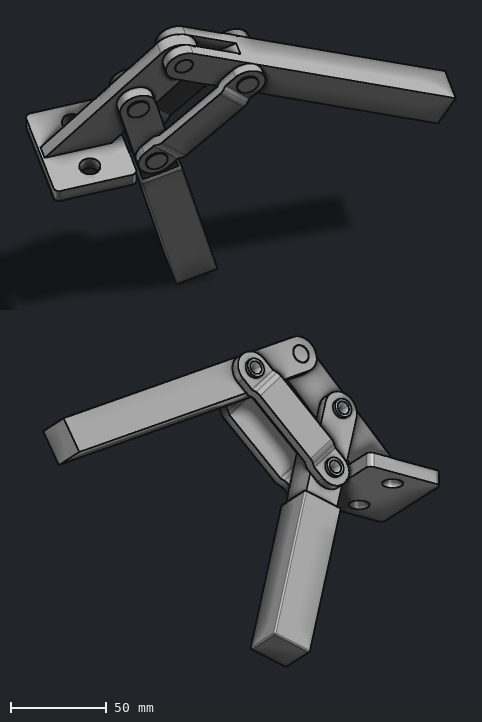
import cadquery as cq
import math


BASE_WIDTH = 56.0
BASE_DEPTH = 45.0
BASE_THICKNESS = 8.0
BASE_CORNER_RADIUS = 3.0
MOUNT_HOLE_DIAMETER = 11.0
MOUNT_HOLE_SPACING = 32.0

BRACKET_THICKNESS = 7.6
BRACKET_RADIUS = 12.8
BRACKET_END_Y = 74.0
BRACKET_END_Z = 61.5
BRACKET_LEAN = 44.5

ARM_PIVOT = (75.8, 63.7)
HANDLE_PIVOT = (50.7, 38.0)

BAR_SIZE = 19.7
ARM_ANGLE = -30.0
ARM_LENGTH = 165.6
HANDLE_ANGLE = -77.5
ARM_FORK_REACH = 31.8
HANDLE_FORK_REACH = 23.0
ARM_PIN_RADIUS = 4.7
ARM_PIN_CLEARANCE = 0.2
ARM_LINK_DISTANCE = 38.0
HANDLE_LINK_DISTANCE = 39.0

GRIP_SIZE = 23.3
GRIP_START = 56.7
GRIP_END = 146.8
GRIP_FILLET = 1.0

LINK_THICKNESS = 5.4
LINK_JOG = 2.0
LINK_BEND_ANGLE = 30.0
LINK_BEND_INNER_RADIUS = 0.5
LINK_BEND_DISTANCE = 9.6

RIVET_RADIUS = 5.2
RIVET_HEIGHT = 2.0
RIVET_RECESS_RADIUS = 3.5
RIVET_RECESS_DEPTH = 3.5
RIVET_HEAD_RADIUS = 5.8
RIVET_HEAD_HEIGHT = 1.0

BAR_HALF = BAR_SIZE / 2


def point_along(start, angle, distance):
    """Point (Y, Z) at a distance from start in the direction of angle."""
    turn = math.radians(angle)
    return (start[0] + distance * math.cos(turn), start[1] + distance * math.sin(turn))


def place(body, pivot, angle):
    """Turn a body built along +Y from the origin to angle, and move it to pivot."""
    turned = body.rotate((0, 0, 0), (1, 0, 0), angle)
    return turned.translate((0, pivot[0], pivot[1]))


def base_plate():
    return (
        cq.Workplane("XY")
        .center(0, BASE_DEPTH / 2)
        .rect(BASE_WIDTH, BASE_DEPTH)
        .extrude(BASE_THICKNESS)
        .edges("|Z")
        .fillet(BASE_CORNER_RADIUS)
        .faces(">Z")
        .workplane(origin=(0, BASE_DEPTH / 2, BASE_THICKNESS))
        .rarray(MOUNT_HOLE_SPACING, 2.2, 2, 1)
        .hole(MOUNT_HOLE_DIAMETER)
    )


def bracket():
    end = (BRACKET_END_Y, BRACKET_END_Z)
    upper = point_along(end, BRACKET_LEAN + 90, BRACKET_RADIUS)
    tip = point_along(end, BRACKET_LEAN, BRACKET_RADIUS)
    lower = point_along(end, BRACKET_LEAN - 90, BRACKET_RADIUS)
    slope = math.tan(math.radians(BRACKET_LEAN))
    upper_foot = upper[0] - (upper[1] - BASE_THICKNESS) / slope
    lower_foot = lower[0] - (lower[1] - BASE_THICKNESS) / slope
    return (
        cq.Workplane("YZ")
        .moveTo(upper_foot, BASE_THICKNESS)
        .lineTo(*upper)
        .threePointArc(tip, lower)
        .lineTo(lower_foot, BASE_THICKNESS)
        .close()
        .extrude(BRACKET_THICKNESS / 2, both=True)
    )


def forked_bar(length, fork_reach, long_side):
    """Bar along +Y, round at the pivot, with a fork that ends in a 45 degree slope.

    The fork reaches farthest on the +Z side if long_side is 1, on the -Z side if -1.
    """
    bar = (
        cq.Workplane("YZ")
        .moveTo(length, BAR_HALF)
        .lineTo(0, BAR_HALF)
        .threePointArc((-BAR_HALF, 0), (0, -BAR_HALF))
        .lineTo(length, -BAR_HALF)
        .close()
        .extrude(BAR_HALF, both=True)
    )
    slot = (
        cq.Workplane("YZ")
        .polyline([
            (-BAR_SIZE, long_side * BAR_HALF),
            (fork_reach, long_side * BAR_HALF),
            (fork_reach - BAR_SIZE, -long_side * BAR_HALF),
            (-BAR_SIZE, -long_side * BAR_HALF),
        ])
        .close()
        .extrude(BRACKET_THICKNESS / 2, both=True)
    )
    return bar.cut(slot)


def arm():
    bore = (
        cq.Workplane("YZ")
        .circle(ARM_PIN_RADIUS + ARM_PIN_CLEARANCE)
        .extrude(BAR_HALF, both=True)
    )
    return place(forked_bar(ARM_LENGTH, ARM_FORK_REACH, 1).cut(bore), ARM_PIVOT, ARM_ANGLE)


def arm_pin():
    """Pin held by the bracket, flush with the sides of the arm."""
    return (
        cq.Workplane("YZ", origin=(0, *ARM_PIVOT))
        .circle(ARM_PIN_RADIUS)
        .extrude(BAR_HALF, both=True)
    )


def handle():
    grip_length = GRIP_END - GRIP_START
    grip = (
        cq.Workplane("XY")
        .box(GRIP_SIZE, grip_length, GRIP_SIZE)
        .edges()
        .fillet(GRIP_FILLET)
        .translate((0, GRIP_START + grip_length / 2, 0))
    )
    bar = forked_bar(GRIP_START + grip_length / 2, HANDLE_FORK_REACH, -1)
    return place(bar.union(grip), HANDLE_PIVOT, HANDLE_ANGLE)


def round_bends(strip, corners, radius):
    """Fillet the edges of a strip that run along Z through the (X, Y) corners."""
    for x, y in corners:
        strip = strip.edges(cq.NearestToPointSelector((x, y, 0))).fillet(radius)
    return strip


def link(start, end):
    """Joggled link on the +X side, bowed outwards between its two round ends."""
    span_y = end[0] - start[0]
    span_z = end[1] - start[1]
    length = math.hypot(span_y, span_z)
    bend = math.radians(LINK_BEND_ANGLE)
    half_run = LINK_JOG / math.tan(bend) / 2
    face_shift = LINK_THICKNESS * math.tan(bend / 2)

    near = LINK_BEND_DISTANCE - half_run + face_shift / 2
    far = LINK_BEND_DISTANCE + half_run + face_shift / 2
    inner_x = BAR_HALF
    outer_x = BAR_HALF + LINK_THICKNESS
    inner_face = [
        (inner_x, -BAR_SIZE),
        (inner_x, near),
        (inner_x + LINK_JOG, far),
        (inner_x + LINK_JOG, length - far),
        (inner_x, length - near),
        (inner_x, length + BAR_SIZE),
    ]
    outer_face = [
        (outer_x, length + BAR_SIZE),
        (outer_x, length - near + face_shift),
        (outer_x + LINK_JOG, length - far + face_shift),
        (outer_x + LINK_JOG, far - face_shift),
        (outer_x, near - face_shift),
        (outer_x, -BAR_SIZE),
    ]
    strip = (
        cq.Workplane("XY")
        .polyline(inner_face + outer_face)
        .close()
        .extrude(BAR_HALF, both=True)
    )

    inside_corners = [inner_face[2], inner_face[3], outer_face[1], outer_face[4]]
    outside_corners = [inner_face[1], inner_face[4], outer_face[2], outer_face[3]]
    strip = round_bends(strip, inside_corners, LINK_BEND_INNER_RADIUS)
    strip = round_bends(strip, outside_corners, LINK_BEND_INNER_RADIUS + LINK_THICKNESS)

    rounded_outline = (
        cq.Workplane("YZ")
        .center(length / 2, 0)
        .slot2D(length + BAR_SIZE, BAR_SIZE)
        .extrude(BASE_WIDTH / 2)
    )
    body = strip.intersect(rounded_outline)
    return place(body, start, math.degrees(math.atan2(span_z, span_y)))


def rivet(pivot, seat):
    """Rivet through everything at pivot; seat is the X distance of its outer faces."""
    shank = (
        cq.Workplane("YZ", origin=(-seat - RIVET_HEIGHT, *pivot))
        .circle(RIVET_RADIUS)
        .extrude(2 * seat + RIVET_HEIGHT)
    )
    head = (
        cq.Workplane("YZ", origin=(seat, *pivot))
        .circle(RIVET_HEAD_RADIUS)
        .extrude(RIVET_HEAD_HEIGHT)
    )
    return shank.union(head)


def rivet_recess(pivot, seat):
    """Conical recess in the plain end of a rivet."""
    cone = cq.Solid.makeCone(
        RIVET_RECESS_RADIUS,
        0,
        RIVET_RECESS_DEPTH,
        pnt=cq.Vector(-seat - RIVET_HEIGHT, *pivot),
        dir=cq.Vector(1, 0, 0),
    )
    return cq.Workplane(cone)


arm_link_pivot = point_along(ARM_PIVOT, ARM_ANGLE, ARM_LINK_DISTANCE)
handle_link_pivot = point_along(HANDLE_PIVOT, HANDLE_ANGLE, HANDLE_LINK_DISTANCE)
link_outer_face = BAR_HALF + LINK_THICKNESS

result = base_plate().union(bracket()).union(arm()).union(arm_pin()).union(handle())

right_link = link(arm_link_pivot, handle_link_pivot)
result = result.union(right_link).union(right_link.mirror("YZ"))

rivet_places = [
    (arm_link_pivot, link_outer_face),
    (handle_link_pivot, link_outer_face),
    (HANDLE_PIVOT, BAR_HALF),
]
for pivot, seat in rivet_places:
    result = result.union(rivet(pivot, seat)).cut(rivet_recess(pivot, seat))